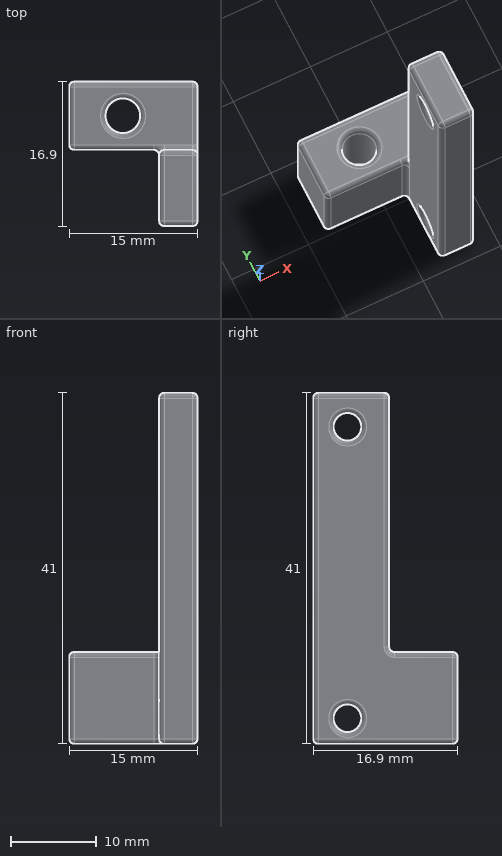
import cadquery as cq

width = 15.0
depth = 16.87
height = 40.95

plate_thickness = 4.5
block_depth = 8.0
block_height = 10.73
plate_depth = depth - block_depth

edge_radius = 0.6

block_hole_diameter = 4.0
block_hole_x = 6.25
block_hole_y = depth - block_depth / 2

plate_hole_diameter = 3.2
plate_hole_y = 4.0
plate_hole_heights = (3.0, height - 3.97)


def box(x, y, z, size_x, size_y, size_z):
    """Box with its lowest corner at (x, y, z)."""
    return cq.Workplane("XY").box(size_x, size_y, size_z, centered=False).translate((x, y, z))


block = box(0, plate_depth, 0, width, block_depth, block_height)
plate = box(width - plate_thickness, 0, 0, plate_thickness, plate_depth, height)
body = block.union(plate).clean()

block_hole = (
    cq.Workplane("XY")
    .center(block_hole_x, block_hole_y)
    .circle(block_hole_diameter / 2)
    .extrude(block_height)
)
plate_holes = (
    cq.Workplane("YZ")
    .pushPoints([(plate_hole_y, z) for z in plate_hole_heights])
    .circle(plate_hole_diameter / 2)
    .extrude(width)
)

body = body.cut(block_hole).cut(plate_holes)
result = body.edges().fillet(edge_radius)